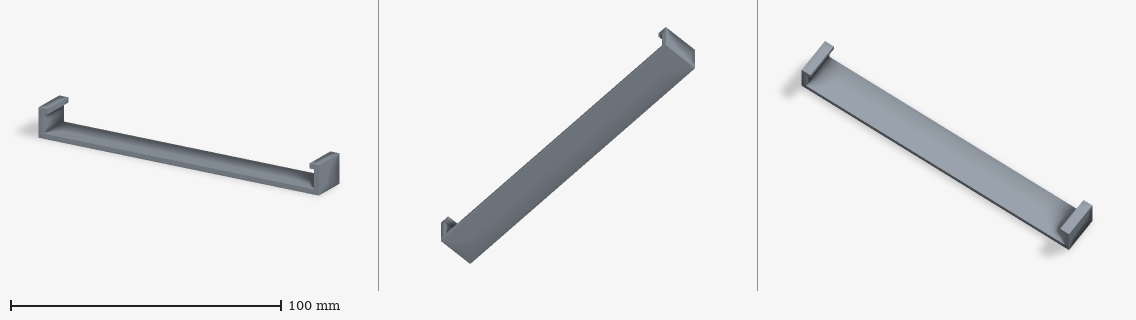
import cadquery as cq

length = 121.0
width = 15.0
height = 12.0

thickness = 2.0
lip_reach = 4.0

half_length = length / 2
inner_half_length = half_length - thickness
lip_half_gap = half_length - lip_reach
lip_underside = height - thickness

profile = (
    cq.Workplane("XZ")
    .moveTo(0, 0)
    .lineTo(half_length, 0)
    .lineTo(half_length, height)
    .lineTo(lip_half_gap, height)
    .lineTo(lip_half_gap, lip_underside)
    .lineTo(inner_half_length, lip_underside)
    .lineTo(inner_half_length, thickness)
    .lineTo(0, thickness)
    .mirrorY()
)

result = profile.extrude(width / 2, both=True)